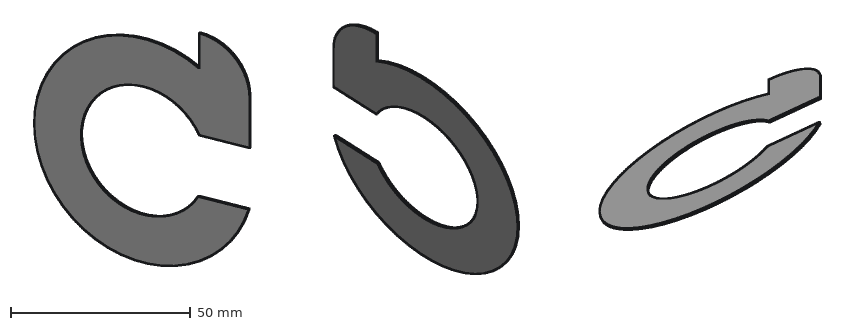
import cadquery as cq
import math

outer_radius = 35.0
inner_radius = 20.0
thickness = 0.6

gap_top = 9.2
gap_bottom = -10.0

tab_right = 33.75
tab_top = 41.05
tab_corner_radius = 16.05
tab_left = tab_right - tab_corner_radius
tab_corner_start = tab_top - tab_corner_radius


def x_on_circle(radius, z):
    """Positive X of the point at height z on a circle about the origin."""
    return math.sqrt(radius**2 - z**2)


tab_foot = math.sqrt(outer_radius**2 - tab_left**2)
corner_mid_offset = tab_corner_radius * math.sqrt(0.5)

outline = (
    cq.Workplane("XZ", origin=(0, thickness / 2, 0))
    .moveTo(x_on_circle(inner_radius, gap_top), gap_top)
    .lineTo(tab_right, gap_top)
    .lineTo(tab_right, tab_corner_start)
    .threePointArc(
        (tab_left + corner_mid_offset, tab_corner_start + corner_mid_offset),
        (tab_left, tab_top),
    )
    .lineTo(tab_left, tab_foot)
    .threePointArc((-outer_radius, 0), (x_on_circle(outer_radius, gap_bottom), gap_bottom))
    .lineTo(x_on_circle(inner_radius, gap_bottom), gap_bottom)
    .threePointArc((-inner_radius, 0), (x_on_circle(inner_radius, gap_top), gap_top))
    .close()
)

result = outline.extrude(thickness)